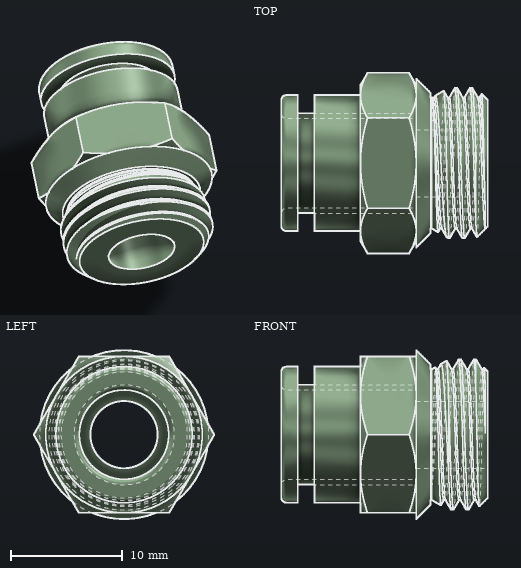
import cadquery as cq
import math

flange_end = 1.5
housing_start = 2.98
hex_start = 7.1
hex_end = 12.08
collar_end = 13.38
thread_start = 13.49
total_length = 18.5

barrel_radius = 12.2 / 2
stem_radius = 8.95 / 2
tube_radius = 8.0 / 2
lip_fillet = 0.5

passage_radius = 6.0 / 2
hex_corner_diameter = 16.17
hex_flat_radius = hex_corner_diameter / 2 * math.cos(math.radians(30))
hex_chamfer_angle = 30
collar_large_radius = 15.13 / 2
collar_small_radius = 6.27

thread_radius = 6.73
root_radius = 5.88
thread_tip_radius = 5.65
thread_pitch = 1.35
crest_width = 0.2
flank_angle = 30
runout_angle = 30
runout_start_radius = root_radius - 0.02
groove_start = 11.93
groove_turns = 6
groove_overcut = 0.07
blank_margin = 1.85


def revolve_about_x(points):
    """Turn a closed (x, radius) outline about the X axis."""
    return cq.Workplane("XY").polyline(points).close().revolve(360, (0, 0, 0), (1, 0, 0))


def cylinder_x(radius, start, end):
    return cq.Workplane("YZ", origin=(start, 0, 0)).circle(radius).extrude(end - start)


def make_sleeve():
    """Flanged release sleeve whose stem reaches the bottom of the housing recess."""
    flange = cylinder_x(barrel_radius, 0, flange_end)
    stem = cylinder_x(stem_radius, 0, hex_end)
    sleeve = flange.union(stem).cut(cylinder_x(tube_radius, 0, hex_end))
    return sleeve.faces("<X").edges().fillet(lip_fillet)


def make_hex():
    """Hexagon with corners on +Y and -Y, both ends chamfered down to the flats."""
    prism = (
        cq.Workplane("YZ", origin=(hex_start, 0, 0))
        .polygon(6, hex_corner_diameter)
        .extrude(hex_end - hex_start)
    )
    corner_radius = hex_corner_diameter / 2
    chamfer_length = (corner_radius - hex_flat_radius) * math.tan(math.radians(hex_chamfer_angle))
    chamfer_envelope = revolve_about_x([
        (hex_start, 0),
        (hex_start, hex_flat_radius),
        (hex_start + chamfer_length, corner_radius),
        (hex_end - chamfer_length, corner_radius),
        (hex_end, hex_flat_radius),
        (hex_end, 0),
    ])
    return prism.intersect(chamfer_envelope)


def make_collar():
    return revolve_about_x([
        (hex_end, 0),
        (hex_end, collar_large_radius),
        (collar_end, collar_small_radius),
        (collar_end, 0),
    ])


def make_thread_groove():
    """Helical groove of trapezoidal section, longer than the thread at both ends."""
    outer_radius = thread_radius + groove_overcut
    flank_slope = math.tan(math.radians(flank_angle))
    crest_half = (thread_pitch - crest_width) / 2
    root_half = crest_half - (thread_radius - root_radius) * flank_slope
    outer_half = crest_half + groove_overcut * flank_slope
    helix = cq.Wire.makeHelix(thread_pitch, groove_turns * thread_pitch, root_radius)
    groove = (
        cq.Workplane("XZ")
        .polyline([
            (root_radius, -root_half),
            (root_radius, root_half),
            (outer_radius, outer_half),
            (outer_radius, -outer_half),
        ])
        .close()
        .sweep(helix, isFrenet=True)
    )
    return groove.rotate((0, 0, 0), (0, 1, 0), 90).translate((groove_start, 0, 0))


def make_thread():
    """Threaded cylinder trimmed by a run-out cone and a 45 degree end chamfer."""
    blank = cylinder_x(thread_radius, thread_start - blank_margin, total_length + blank_margin)
    runout_length = (thread_radius - runout_start_radius) / math.tan(math.radians(runout_angle))
    chamfer_length = thread_radius - thread_tip_radius
    envelope = revolve_about_x([
        (collar_end, 0),
        (collar_end, runout_start_radius),
        (thread_start, runout_start_radius),
        (thread_start + runout_length, thread_radius),
        (total_length - chamfer_length, thread_radius),
        (total_length, thread_tip_radius),
        (total_length, 0),
    ])
    return blank.cut(make_thread_groove()).intersect(envelope)


def make_housing():
    barrel = cylinder_x(barrel_radius, housing_start, hex_start)
    body = barrel.union(make_hex()).union(make_collar()).union(make_thread())
    sleeve_recess = cylinder_x(stem_radius, housing_start, hex_end)
    passage = cylinder_x(passage_radius, housing_start, total_length)
    return body.cut(sleeve_recess).cut(passage)


sleeve = make_sleeve()
housing = make_housing()
result = cq.Compound.makeCompound([sleeve.val(), *housing.vals()])